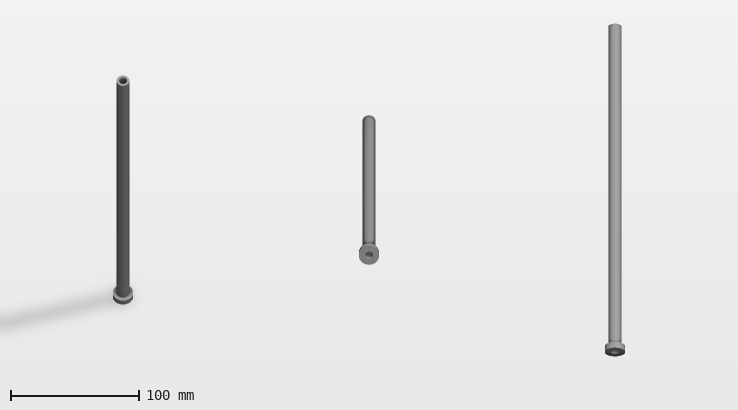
import cadquery as cq

total_length = 280.0
head_diameter = 16.0
head_height = 5.0
tube_diameter = 10.0
bore_diameter = 6.2
root_fillet = 0.5


def make_head():
    """Round flange with its base on the XY plane."""
    return cq.Workplane("XY").circle(head_diameter / 2).extrude(head_height)


def make_tube():
    """Long round shank rising from the base through the head."""
    return cq.Workplane("XY").circle(tube_diameter / 2).extrude(total_length)


def make_root_fillet():
    """Concave ring blending the shank into the top face of the head."""
    tube_radius = tube_diameter / 2
    fillet_outer_radius = tube_radius + root_fillet
    fillet_top = head_height + root_fillet
    arc_centre = cq.Vector(fillet_outer_radius, fillet_top)
    arc_middle = arc_centre + cq.Vector(-1, -1).normalized() * root_fillet
    return (
        cq.Workplane("XZ")
        .moveTo(tube_radius, head_height)
        .lineTo(fillet_outer_radius, head_height)
        .threePointArc((arc_middle.x, arc_middle.y), (tube_radius, fillet_top))
        .close()
        .revolve(360, (0, 0), (0, 1))
    )


def make_bore():
    """Straight hole along the full length."""
    return cq.Workplane("XY").circle(bore_diameter / 2).extrude(total_length)


result = make_head().union(make_tube()).union(make_root_fillet()).cut(make_bore())